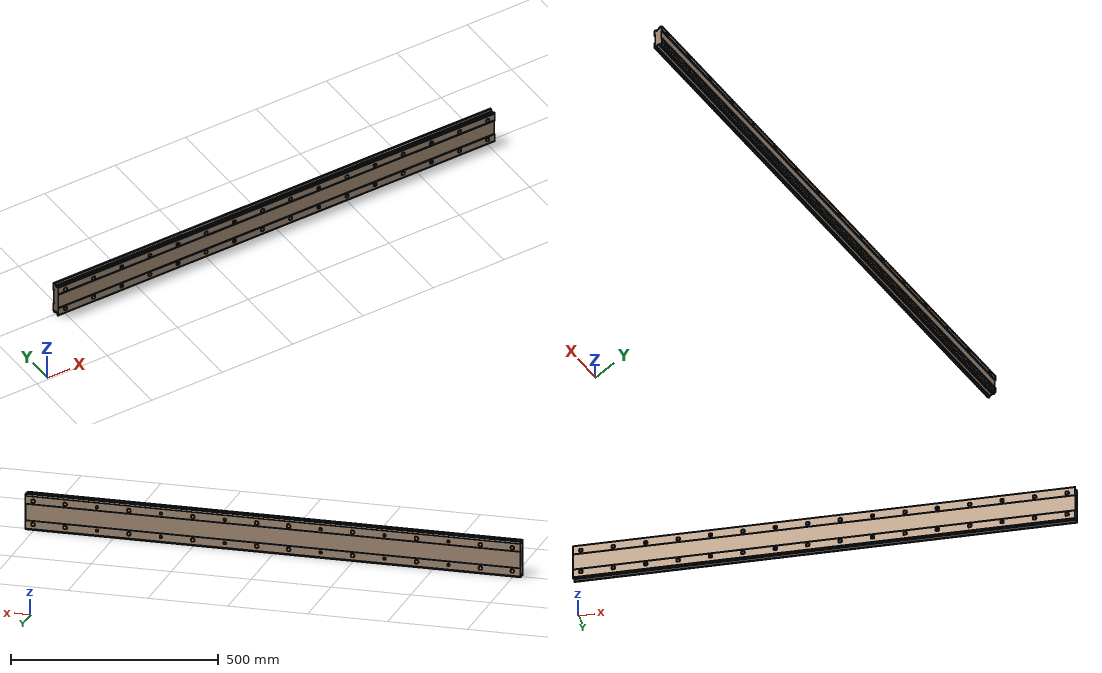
import cadquery as cq

length = 1240
thickness = 24.0
height = 90.0

web_thickness = 20.0
web_half_height = 21.0
thick_lip_bevel = 4.0
thin_lip_bevel = 2.0
groove_width = 7.0
groove_depth = 5.0
groove_offset = -2.0

holes_per_row = 16
end_margin = 20.0
hole_pitch = (length - 2 * end_margin) / (holes_per_row - 1)
row_height = 30.0
plain_diameter = 9.3
countersunk_diameter = 6.0
countersink_diameter = 9.3
countersink_angle = 90
countersunk_positions = (2, 4, 6, 9, 11, 13)


def rail_body():
    """Flanged bar along X, with a groove in its top and bottom edges and bevelled lips."""
    bar = cq.Workplane("XY").box(length, thickness, height)
    for side in (-1, 1):
        groove = cq.Workplane("XY").box(length, groove_width, groove_depth)
        bar = bar.cut(groove.translate((0, groove_offset, side * (height - groove_depth) / 2)))
    for lip, bevel in ((">Y", thick_lip_bevel), ("<Y", thin_lip_bevel)):
        bar = bar.faces(">Z or <Z").faces(lip).edges("|X").chamfer(bevel)

    recess_depth = (thickness - web_thickness) / 2
    for side in (-1, 1):
        recess = cq.Workplane("XY").box(length, recess_depth, 2 * web_half_height)
        bar = bar.cut(recess.translate((0, side * (thickness - recess_depth) / 2, 0)))
    return bar


def hole_points(countersunk):
    """Centres, on both rows, of the countersunk or of the plain holes."""
    points = []
    for i in range(holes_per_row):
        if (i in countersunk_positions) == countersunk:
            x = -length / 2 + end_margin + i * hole_pitch
            points += [(x, -row_height), (x, row_height)]
    return points


def front_face(body):
    """Sketch plane on the -Y flange face, with its axes along X and Z."""
    return body.copyWorkplane(cq.Workplane("XZ", origin=(0, -thickness / 2, 0)))


result = rail_body()
result = front_face(result).pushPoints(hole_points(False)).hole(plain_diameter)
result = (
    front_face(result)
    .pushPoints(hole_points(True))
    .cskHole(countersunk_diameter, countersink_diameter, countersink_angle)
)